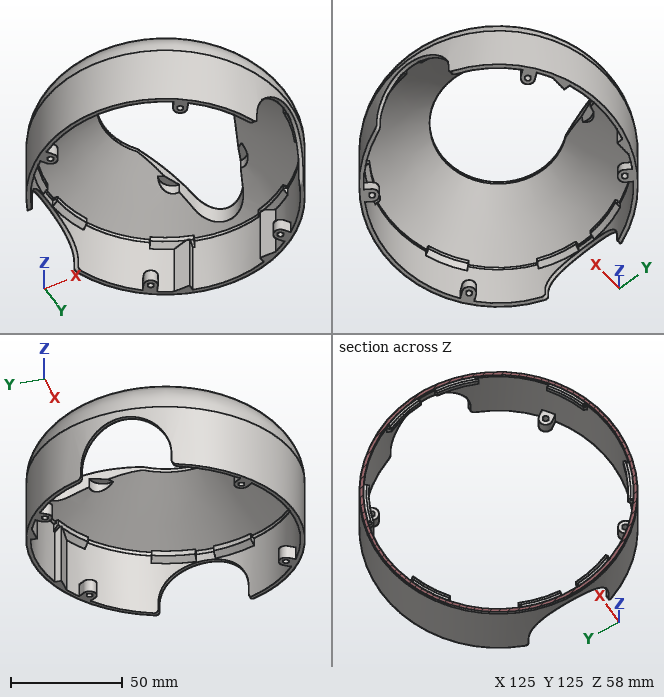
import cadquery as cq
import math

outer_radius = 62.5
wall = 2.0
inner_radius = outer_radius - wall
root_radius = outer_radius - wall / 2
seam_height = 30.5
total_height = 58.0

opening_radius = 30.9
opening_lip_height = 1.8
dome_rim_height = 1.9
slot_tip_radius = 13.4
slot_tip_center_y = 44.1
slot_flank_angle = 21.9
slot_mouth_y = 18.1
pocket_radius = 6.6
pocket_x = 15.5
pocket_y = 34.2
pocket_roof = 50.5

arch_radius = 21.2
arch_top = 26.6
arch_foot_radius = 2.0

boss_radius = 3.2
boss_height = 6.2
boss_hole_diameter = 2.8
boss_distance = 56.9
boss_angle = 54.2

pad_side_x = 18.1
pad_face_y = 54.6
pad_top = 29.2

catch_radius = 58.1
catch_lip_radius = 59.2
catch_lip_top = 31.8
catch_face_bottom = 29.2
catch_foot = 26.6
catch_angle_span = 19.3
catch_angles = (13.9, 63.8)
tongue_setback = 1.2


def mirrored_angles(angle):
    """The same direction in all four quadrants, as (angle, is flipped) pairs."""
    return [(angle, False), (180 - angle, True), (180 + angle, False), (-angle, True)]


def ring_sector(section, start_angle, span):
    """Revolve a closed (radius, height) section about Z, from start_angle through span degrees."""
    sector = cq.Workplane("XZ").polyline(section).close().revolve(span, (0, 0), (0, 1))
    return sector.rotate((0, 0, 0), (0, 0, 1), start_angle)


def vertical_cylinder(radius, height):
    return cq.Workplane("XY").circle(radius).extrude(height)


def dome_shell():
    """Elliptic outside, conical inside, open at the top. The parameter t runs from seam to opening."""
    rise = total_height - seam_height
    ellipse_height = rise / math.sqrt(1 - (opening_radius / outer_radius) ** 2)
    opening_parameter = math.acos(opening_radius / outer_radius)
    section = (
        cq.Workplane("XZ")
        .moveTo(inner_radius, seam_height)
        .lineTo(outer_radius, seam_height)
        .parametricCurve(
            lambda t: (
                outer_radius * math.cos(t * opening_parameter),
                seam_height + ellipse_height * math.sin(t * opening_parameter),
            ),
            makeWire=False,
        )
        .lineTo(opening_radius, total_height - opening_lip_height)
        .lineTo(inner_radius, seam_height + dome_rim_height)
        .close()
    )
    return section.revolve(360, (0, 0), (0, 1))


def teardrop_slot():
    """Rounded tip toward +Y, with straight flanks that widen to the round opening."""
    flank = math.radians(slot_flank_angle)
    tangent_x = slot_tip_radius * math.cos(flank)
    tangent_y = slot_tip_center_y + slot_tip_radius * math.sin(flank)
    mouth_x = tangent_x + (tangent_y - slot_mouth_y) * math.tan(flank)
    outline = (
        cq.Workplane("XY")
        .moveTo(mouth_x, slot_mouth_y)
        .lineTo(tangent_x, tangent_y)
        .threePointArc((0, slot_tip_center_y + slot_tip_radius), (-tangent_x, tangent_y))
        .lineTo(-mouth_x, slot_mouth_y)
        .close()
    )
    return outline.extrude(total_height)


def tongue(center_angle, flipped):
    """Tongue behind a catch lip; it stops short at the end nearest the Y axis."""
    section = [
        (catch_lip_radius, seam_height),
        (root_radius, seam_height),
        (root_radius, catch_lip_top),
        (catch_lip_radius, catch_lip_top),
    ]
    start = center_angle - catch_angle_span / 2
    if flipped:
        start += tongue_setback
    return ring_sector(section, start, catch_angle_span - tongue_setback)


def make_dome():
    body = dome_shell().cut(teardrop_slot())
    for side in (-1, 1):
        pocket = vertical_cylinder(pocket_radius, pocket_roof)
        body = body.cut(pocket.translate((side * pocket_x, pocket_y, 0)))
    for angle in catch_angles:
        for center_angle, flipped in mirrored_angles(angle):
            body = body.union(tongue(center_angle, flipped))
    return body


def ring_wall():
    return cq.Workplane("XY").circle(outer_radius).circle(inner_radius).extrude(seam_height)


def pad(side):
    """Flat pad that fills the segment between its two flat faces and the wall."""
    depth = outer_radius - pad_face_y
    width = outer_radius - pad_side_x
    block = cq.Workplane("XY").box(width, depth, pad_top, centered=False)
    block = block.translate((pad_side_x, pad_face_y, 0))
    block = block.intersect(vertical_cylinder(root_radius, pad_top))
    return block if side > 0 else block.mirror("YZ")


def catch(center_angle):
    """L-shaped catch with a sloped underside and a lip that rises above the seam."""
    section = [
        (root_radius, catch_foot),
        (inner_radius, catch_foot),
        (catch_radius, catch_face_bottom),
        (catch_radius, catch_lip_top),
        (catch_lip_radius, catch_lip_top),
        (catch_lip_radius, seam_height),
        (root_radius, seam_height),
    ]
    return ring_sector(section, center_angle - catch_angle_span / 2, catch_angle_span)


def boss(angle):
    """Round-nosed boss that runs straight back into the wall."""
    back = cq.Workplane("XY").box(
        root_radius - boss_distance, 2 * boss_radius, boss_height, centered=(False, True, False)
    )
    body = vertical_cylinder(boss_radius, boss_height).union(back).translate((boss_distance, 0, 0))
    body = body.intersect(vertical_cylinder(root_radius, boss_height))
    hole = vertical_cylinder(boss_hole_diameter / 2, boss_height).translate((boss_distance, 0, 0))
    return body.cut(hole).rotate((0, 0, 0), (0, 0, 1), angle)


def arch_cutter():
    """Round-topped passage along X, flared by fillets at its feet."""
    spring_height = arch_top - arch_radius
    foot_half_width = arch_radius + arch_foot_radius
    outline = (
        cq.Workplane("YZ")
        .moveTo(-foot_half_width, 0)
        .radiusArc((-arch_radius, arch_foot_radius), -arch_foot_radius)
        .lineTo(-arch_radius, spring_height)
        .threePointArc((0, arch_top), (arch_radius, spring_height))
        .lineTo(arch_radius, arch_foot_radius)
        .radiusArc((foot_half_width, 0), -arch_foot_radius)
        .close()
    )
    return outline.extrude(outer_radius, both=True)


def make_ring():
    body = ring_wall()
    for side in (-1, 1):
        body = body.union(pad(side))
    for angle in catch_angles:
        for center_angle, _ in mirrored_angles(angle):
            body = body.union(catch(center_angle))
    for angle, _ in mirrored_angles(boss_angle):
        body = body.union(boss(angle))
    return body.cut(arch_cutter())


dome = make_dome()
ring = make_ring()

result = cq.Compound.makeCompound([dome.solids().val(), ring.solids().val()])